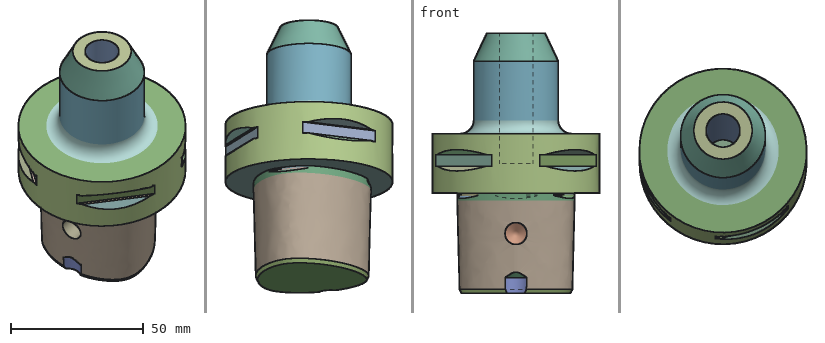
import cadquery as cq
import math

total_height = 98.0
bottom_chamfer_height = 1.6
taper_top = 34.9
flange_bottom = 37.7
flange_top = 60.2
nose_bottom = 87.4

flange_diameter = 63.0
flange_radius = flange_diameter / 2
neck_radius = 16.0
nose_tip_radius = 11.0
neck_fillet = 5.0
bore_radius = 6.4
bore_depth = 49.0

shank_radius = 22.1
lobe_offset = 1.4
taper_on_diameter = 0.05
bottom_chamfer_inset = 0.8
points_per_section = 60

relief_radius = 22.4
relief_straight_height = 0.6
relief_fillet = 0.8
relief_cone_angle = 45.0
relief_outer_radius = 23.7

side_hole_radius = 4.1
side_hole_height = 22.5
side_hole_depth = 7.8
side_hole_point_angle = 118.0
notch_radius = 5.0
notch_axis_y = -22.7
notch_point_angle = 100.0
notch_depth = 6.0

groove_count = 4
groove_centre = 50.1
groove_height = 4.3
groove_floor_distance = 27.7
groove_step = 1.0
groove_mouth_height = 8.0


def shank_section(mean_radius, height):
    """Rounded three-lobed wire of constant width, with one lobe towards +Y."""
    points = []
    for i in range(points_per_section):
        angle = 2 * math.pi * i / points_per_section
        reach = mean_radius - lobe_offset * math.sin(3 * angle)
        slope = -3 * lobe_offset * math.cos(3 * angle)
        x = reach * math.cos(angle) - slope * math.sin(angle)
        y = reach * math.sin(angle) + slope * math.cos(angle)
        points.append(cq.Vector(x, y, height))
    return cq.Wire.assembleEdges([cq.Edge.makeSpline(points, periodic=True)])


def shank_stage(bottom_radius, bottom, top_radius, top):
    """Length of shank between two sections."""
    sections = [shank_section(bottom_radius, bottom), shank_section(top_radius, top)]
    return cq.Workplane(cq.Solid.makeLoft(sections, True))


def make_shank():
    taper_length = taper_top - bottom_chamfer_height
    small_radius = shank_radius - taper_length * taper_on_diameter / 2
    tip_radius = small_radius - bottom_chamfer_inset
    shank = shank_stage(tip_radius, 0, small_radius, bottom_chamfer_height)
    shank = shank.union(shank_stage(small_radius, bottom_chamfer_height, shank_radius, taper_top))
    return shank.union(shank_stage(shank_radius, taper_top, shank_radius, flange_bottom))


def make_head():
    """Flange, filleted neck and conical nose, turned about Z."""
    fillet_mid = neck_fillet * (1 - math.sqrt(0.5))
    return (
        cq.Workplane("XZ")
        .moveTo(0, flange_bottom)
        .lineTo(flange_radius, flange_bottom)
        .lineTo(flange_radius, flange_top)
        .lineTo(neck_radius + neck_fillet, flange_top)
        .threePointArc(
            (neck_radius + fillet_mid, flange_top + fillet_mid),
            (neck_radius, flange_top + neck_fillet),
        )
        .lineTo(neck_radius, nose_bottom)
        .lineTo(nose_tip_radius, total_height)
        .lineTo(0, total_height)
        .close()
        .revolve()
    )


def lobe_relief():
    """Ring that trims the lobes to a cylinder, blended by a fillet into a cone below it."""
    fillet_top = flange_bottom - relief_straight_height

    def fillet_point(turn):
        """Point on the fillet after it has turned away from the cylinder by an angle."""
        turn = math.radians(turn)
        return (
            relief_radius + relief_fillet * (1 - math.cos(turn)),
            fillet_top - relief_fillet * math.sin(turn),
        )

    cone_start = fillet_point(relief_cone_angle)
    cone_width = relief_outer_radius - cone_start[0]
    cone_bottom = cone_start[1] - cone_width / math.tan(math.radians(relief_cone_angle))
    return (
        cq.Workplane("XZ")
        .moveTo(relief_radius, flange_bottom)
        .lineTo(relief_radius, fillet_top)
        .threePointArc(fillet_point(relief_cone_angle / 2), cone_start)
        .lineTo(relief_outer_radius, cone_bottom)
        .lineTo(relief_outer_radius, flange_bottom)
        .close()
        .revolve()
    )


def drill(radius, depth, point_angle):
    """Drill along +Z, one radius of lead-in before Z = 0, ending in a conical point."""
    point_length = radius / math.tan(math.radians(point_angle / 2))
    return (
        cq.Workplane("XZ")
        .moveTo(0, -radius)
        .lineTo(radius, -radius)
        .lineTo(radius, depth)
        .lineTo(0, depth + point_length)
        .close()
        .revolve()
    )


def side_hole():
    surface_y = -(shank_radius - lobe_offset)
    upright = drill(side_hole_radius, side_hole_depth, side_hole_point_angle)
    along_y = upright.rotate((0, 0, 0), (1, 0, 0), -90)
    return along_y.translate((0, surface_y, side_hole_height))


def end_notch():
    return drill(notch_radius, notch_depth, notch_point_angle).translate((0, notch_axis_y, 0))


def gripper_groove():
    """Straight groove across the +X side: square floor opening into a wide mouth."""
    step_x = groove_floor_distance + groove_step
    half_floor = groove_height / 2
    half_mouth = groove_mouth_height / 2
    return (
        cq.Workplane("XZ")
        .moveTo(groove_floor_distance, -half_floor)
        .lineTo(step_x, -half_floor)
        .lineTo(flange_radius, -half_mouth)
        .lineTo(flange_radius, half_mouth)
        .lineTo(step_x, half_floor)
        .lineTo(groove_floor_distance, half_floor)
        .close()
        .extrude(flange_radius, both=True)
        .translate((0, 0, groove_centre))
    )


shank = make_shank().cut(lobe_relief()).cut(side_hole()).cut(end_notch())

bore = cq.Workplane("XY", origin=(0, 0, total_height)).circle(bore_radius).extrude(-bore_depth)
head = make_head().cut(bore)
for i in range(groove_count):
    groove_angle = (i + 0.5) * 360 / groove_count
    head = head.cut(gripper_groove().rotate((0, 0, 0), (0, 0, 1), groove_angle))

result = head.union(shank)